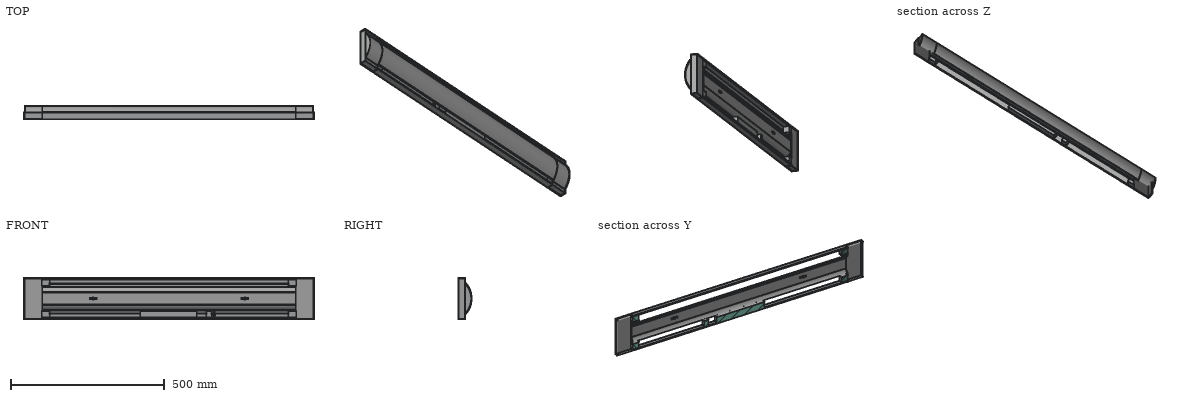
import cadquery as cq
import math


total_length = 942.0
total_depth = 43.72
total_height = 134.0
half_length = total_length / 2
half_height = total_height / 2

cap_inner_x = 411.0
base_depth = 22.6
cap_wall = 2.0
dome_end_inset = 2.0
tab_length = 23.5

wall_thickness = 6.0
sheet_thickness = 2.0
floor_y = base_depth - sheet_thickness
channel_half_height = half_height - wall_thickness
ridge_front_y = 2.0
flank_radius = 27.0
ridge_half_width = 39.0
plateau_half_width = 21.3

block_front_y = 0.5
groove_inner_z = -40.8
long_block = (-93.5, 90.5)
short_block = (121.5, 138.5)
cable_hole_x = 147.0
cable_holes = [(-45.0, 3.83), (-54.0, 4.23)]

keyhole_x = 246.2
keyhole_diameter = 7.0
keyhole_slot_width = 3.83
keyhole_slot_reach = 11.8
screw_hole_diameter = 4.23
screw_hole_spacing = 10.0

dome_half_width = 52.0
diffuser_wall = 1.5
diffuser_side_depth = 2.5


def dome_radius():
    rise = total_depth - base_depth
    return (dome_half_width ** 2 + rise ** 2) / (2 * rise)


def box(x0, x1, y0, y1, z0, z1):
    return cq.Workplane("XY").box(x1 - x0, y1 - y0, z1 - z0, centered=False).translate((x0, y0, z0))


def extrude_along_x(profile, x0, x1):
    """Extrude a closed profile, drawn in (Y, Z), from x0 to x1."""
    return profile.extrude(x1 - x0).translate((x0, 0, 0))


def flank_bulge(rise, run):
    """Height of a flank's arc above its chord."""
    half_chord = math.hypot(rise, run) / 2
    return flank_radius - math.sqrt(flank_radius ** 2 - half_chord ** 2)


def ridge(inset):
    """Flat-fronted ridge with round flanks, shrunk all round by inset and reaching to the housing's back."""
    plateau_y = ridge_front_y + inset
    foot_z = ridge_half_width - inset
    top_z = plateau_half_width - inset
    bulge = flank_bulge(floor_y - plateau_y, foot_z - top_z)
    profile = (
        cq.Workplane("YZ")
        .moveTo(base_depth, -foot_z)
        .lineTo(floor_y, -foot_z)
        .sagittaArc((plateau_y, -top_z), bulge)
        .lineTo(plateau_y, top_z)
        .sagittaArc((floor_y, foot_z), bulge)
        .lineTo(base_depth, foot_z)
        .close()
    )
    return extrude_along_x(profile, -cap_inner_x, cap_inner_x)


def hole(x, z, diameter):
    return cq.Workplane("XZ", origin=(x, 0, z)).circle(diameter / 2).extrude(-base_depth)


def keyhole(side):
    """Keyhole whose slot points to the nearer end, with a screw hole on its inner side."""
    x = side * keyhole_x
    slot_end = x + side * keyhole_slot_reach
    half_slot = keyhole_slot_width / 2
    slot = box(min(x, slot_end), max(x, slot_end), 0, base_depth, -half_slot, half_slot)
    screw_hole = hole(x - side * screw_hole_spacing, 0, screw_hole_diameter)
    return hole(x, 0, keyhole_diameter).union(slot).union(screw_hole)


def make_housing():
    """Channel with a hollow ridge on its floor, two blocks in the lower groove, keyholes and cable holes."""
    body = box(-cap_inner_x, cap_inner_x, 0, base_depth, -half_height, half_height)
    body = body.cut(box(-cap_inner_x, cap_inner_x, 0, floor_y, -channel_half_height, channel_half_height))
    body = body.union(ridge(0))
    body = body.cut(ridge(sheet_thickness))
    for x0, x1 in (long_block, short_block):
        body = body.union(box(x0, x1, block_front_y, base_depth, -channel_half_height, groove_inner_z))
    for side in (-1, 1):
        body = body.cut(keyhole(side))
    for z, diameter in cable_holes:
        body = body.cut(hole(cable_hole_x, z, diameter))
    return body


def dome_half_width_at(y, inset):
    """Half width of the dome at depth y, shrunk by inset."""
    radius = dome_radius()
    axis_y = total_depth - radius
    return math.sqrt((radius - inset) ** 2 - (y - axis_y) ** 2)


def dome(x0, x1, start_y, inset=0):
    """Arc-backed bar between x0 and x1 that starts at start_y and is shrunk by inset."""
    start_z = dome_half_width_at(start_y, inset)
    profile = (
        cq.Workplane("YZ")
        .moveTo(start_y, -start_z)
        .threePointArc((total_depth - inset, 0), (start_y, start_z))
        .close()
    )
    return extrude_along_x(profile, x0, x1)


def diffuser_bar(inset):
    """Full section of the diffuser, with short straight sides, shrunk by inset."""
    side_end_y = base_depth + diffuser_side_depth
    side_z = dome_half_width_at(side_end_y, inset)
    sides = box(-cap_inner_x, cap_inner_x, base_depth, side_end_y, -side_z, side_z)
    return sides.union(dome(-cap_inner_x, cap_inner_x, side_end_y, inset))


def make_diffuser():
    return diffuser_bar(0).cut(diffuser_bar(diffuser_wall))


def make_right_cap():
    """Hollow cap, open towards the housing, with two tabs that reach into the channel."""
    dome_end_x = half_length - dome_end_inset
    cap = box(cap_inner_x, half_length, 0, base_depth, -half_height, half_height)
    cap = cap.union(dome(cap_inner_x, dome_end_x, base_depth))
    cavity_half_height = half_height - cap_wall
    cavity = box(
        cap_inner_x, half_length - cap_wall,
        cap_wall, base_depth - cap_wall,
        -cavity_half_height, cavity_half_height,
    )
    dome_cavity = dome(cap_inner_x, dome_end_x - cap_wall, base_depth - cap_wall, cap_wall)
    cap = cap.cut(cavity).cut(dome_cavity)
    tab_x = cap_inner_x - tab_length
    tab_root_x = cap_inner_x + cap_wall
    cap = cap.union(box(tab_x, tab_root_x, 0, floor_y, -channel_half_height, groove_inner_z))
    return cap.union(box(tab_x, tab_root_x, 0, floor_y, -groove_inner_z, channel_half_height))


housing = make_housing()
diffuser = make_diffuser()
right_cap = make_right_cap()
left_cap = right_cap.mirror("YZ")

result = cq.Compound.makeCompound([housing.val(), diffuser.val(), left_cap.val(), right_cap.val()])